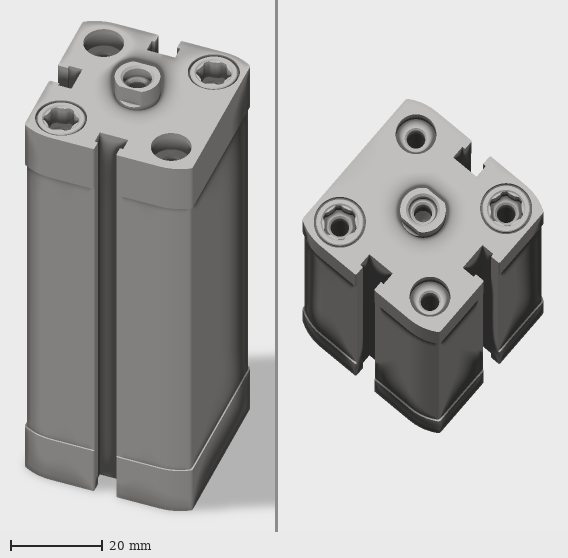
import cadquery as cq
import math

total_height = 108.0
rod_projection = 5.5
housing_height = total_height - rod_projection
cap_size = 39.5
cap_height = 12.0
tube_inset = 0.38

corner_arc_diameter = 25.4
corner_arc_radius = corner_arc_diameter / 2
corner_arc_offset = 12.9
corner_edge_radius = 0.9

slot_mouth_width = 5.2
slot_inner_width = 6.7
slot_lip_depth = 2.4
slot_depth = 5.5
slot_mouth_bevel = 0.2
slot_angles = (0, 90, 180)

hole_offset = 13.0
screw_hole_diameter = 4.1
screw_hole_mouth = 5.0
screw_hole_chamfer = (screw_hole_mouth - screw_hole_diameter) / 2
socket_depth = 4.9
counterbore_diameter = 9.0
groove_outer_diameter = 11.5
groove_depth = 1.1
collar_diameter = 10.5
collar_top_diameter = 10.0
collar_chamfer = (collar_diameter - collar_top_diameter) / 2
socket_mouth_diameter = 8.4
socket_root_diameter = 7.8
socket_tip_diameter = 6.8
socket_chamfer = (socket_mouth_diameter - socket_root_diameter) / 2
socket_lobes = 6
lobe_half_angle = 8.5
first_lobe_angle = 45

rod_diameter = 10.0
rod_insertion = cap_height
rod_flats_width = 8.6
rod_flat_height = 4.2
rod_flat_slope_height = 0.4
rod_counterbore_diameter = 6.4
rod_counterbore_mouth = 7.5
rod_counterbore_depth = 2.9
rod_hole_diameter = 4.0
rod_hole_mouth = 5.0
rod_hole_depth = 9.7
drill_tip_angle = 118


def cone(bottom_diameter, top_diameter, height, base_z):
    """Truncated cone on the Z axis."""
    return (
        cq.Workplane("XY")
        .workplane(offset=base_z)
        .circle(bottom_diameter / 2)
        .workplane(offset=height)
        .circle(top_diameter / 2)
        .loft(ruled=True)
    )


def cylinder(diameter, height, base_z):
    """Cylinder on the Z axis."""
    return cq.Workplane("XY").workplane(offset=base_z).circle(diameter / 2).extrude(height)


def rounded_block(inset, height, base_z):
    """Square block with arched corners, its walls moved inward by the inset."""
    half = cap_size / 2 - inset
    radius = corner_arc_radius - inset
    arc_center = cap_size / 2 - corner_arc_radius
    end_angle = math.acos((half - corner_arc_offset) / radius)
    side_y = arc_center + radius * math.sin(end_angle)
    middle_angle = (end_angle + math.pi / 2) / 2
    middle_x = corner_arc_offset + radius * math.cos(middle_angle)
    middle_y = arc_center + radius * math.sin(middle_angle)
    return (
        cq.Workplane("XY")
        .workplane(offset=base_z)
        .moveTo(-corner_arc_offset, half)
        .lineTo(corner_arc_offset, half)
        .threePointArc((middle_x, middle_y), (half, side_y))
        .lineTo(half, -side_y)
        .threePointArc((middle_x, -middle_y), (corner_arc_offset, -half))
        .lineTo(-corner_arc_offset, -half)
        .threePointArc((-middle_x, -middle_y), (-half, -side_y))
        .lineTo(-half, side_y)
        .threePointArc((-middle_x, middle_y), (-corner_arc_offset, half))
        .close()
        .extrude(height)
        .edges("(>X or <X) and |Z")
        .fillet(corner_edge_radius)
    )


def slot_cutter():
    """T-slot along the +Y face with beveled mouth edges in both caps."""
    face = cap_size / 2
    bevel_y = face - slot_mouth_bevel
    mouth = slot_mouth_width / 2
    wide_mouth = mouth + slot_mouth_bevel
    neck = cq.Workplane("XY").center(0, face - slot_depth / 2).rect(slot_mouth_width, slot_depth)
    inner_height = slot_depth - slot_lip_depth
    inner_y = face - slot_depth + inner_height / 2
    inner = cq.Workplane("XY").center(0, inner_y).rect(slot_inner_width, inner_height)
    slot = neck.extrude(housing_height).union(inner.extrude(housing_height))
    for base_z in (0, housing_height - cap_height):
        bevel = (
            cq.Workplane("XY")
            .workplane(offset=base_z)
            .polyline([(-mouth, bevel_y), (mouth, bevel_y), (wide_mouth, face), (-wide_mouth, face)])
            .close()
            .extrude(cap_height)
        )
        slot = slot.union(bevel)
    return slot


def screw_hole_cutter():
    """Through hole with a chamfered mouth at the bottom of a socket."""
    mouth_z = housing_height - socket_depth
    chamfer = cone(screw_hole_diameter, screw_hole_mouth, screw_hole_chamfer, mouth_z - screw_hole_chamfer)
    return cylinder(screw_hole_diameter, mouth_z, 0).union(chamfer)


def plain_hole_cutter():
    """Counterbored screw hole."""
    counterbore = cylinder(counterbore_diameter, socket_depth, housing_height - socket_depth)
    return screw_hole_cutter().union(counterbore)


def lobed_socket_cutter(height, base_z):
    """Six-lobed socket whose lobes point inward, one of them toward the +X +Y corner."""
    tip_radius = socket_tip_diameter / 2
    root_radius = socket_root_diameter / 2
    pitch = 360 / socket_lobes

    def polar(radius, degrees):
        return radius * math.cos(math.radians(degrees)), radius * math.sin(math.radians(degrees))

    outline = (
        cq.Workplane("XY")
        .workplane(offset=base_z)
        .moveTo(*polar(tip_radius, first_lobe_angle - lobe_half_angle))
    )
    for lobe in range(socket_lobes):
        tip = first_lobe_angle + lobe * pitch
        root = tip + pitch / 2
        next_tip = tip + pitch
        outline = (
            outline
            .threePointArc(polar(tip_radius, tip), polar(tip_radius, tip + lobe_half_angle))
            .lineTo(*polar(root_radius, root - lobe_half_angle))
            .threePointArc(polar(root_radius, root), polar(root_radius, root + lobe_half_angle))
            .lineTo(*polar(tip_radius, next_tip - lobe_half_angle))
        )
    return outline.close().extrude(height)


def lobed_hole_cutter():
    """Screw hole with a lobed socket inside a collar, set off by a ring groove."""
    groove_z = housing_height - groove_depth
    chamfer_z = housing_height - collar_chamfer
    collar = cylinder(collar_diameter, groove_depth - collar_chamfer, groove_z).union(
        cone(collar_diameter, collar_top_diameter, collar_chamfer, chamfer_z)
    )
    groove = cylinder(groove_outer_diameter, groove_depth, groove_z).cut(collar)
    socket = lobed_socket_cutter(socket_depth, housing_height - socket_depth)
    mouth_z = housing_height - socket_chamfer
    socket_mouth = cone(socket_root_diameter, socket_mouth_diameter, socket_chamfer, mouth_z)
    return screw_hole_cutter().union(socket).union(socket_mouth).union(groove)


def make_housing():
    top_cap_z = housing_height - cap_height
    tube_height = housing_height - 2 * cap_height
    housing = (
        rounded_block(0, cap_height, 0)
        .union(rounded_block(tube_inset, tube_height, cap_height))
        .union(rounded_block(0, cap_height, top_cap_z))
    )
    slot = slot_cutter()
    for angle in slot_angles:
        housing = housing.cut(slot.rotate((0, 0, 0), (0, 0, 1), angle))
    for side in (-1, 1):
        housing = housing.cut(plain_hole_cutter().translate((side * hole_offset, -side * hole_offset, 0)))
        housing = housing.cut(lobed_hole_cutter().translate((side * hole_offset, side * hole_offset, 0)))
    return housing.cut(cylinder(rod_diameter, rod_insertion, housing_height - rod_insertion))


def flat_cutter():
    """Removes one wrench flat on the +Y side, ending in a slope."""
    flat_y = rod_flats_width / 2
    outer_y = rod_diameter / 2
    flat_z = total_height - rod_flat_height
    return (
        cq.Workplane("YZ")
        .polyline([
            (flat_y, total_height), (flat_y, flat_z),
            (outer_y, flat_z - rod_flat_slope_height), (outer_y, total_height),
        ])
        .close()
        .extrude(rod_diameter / 2, both=True)
    )


def make_rod():
    rod = cylinder(rod_diameter, rod_insertion + rod_projection, housing_height - rod_insertion)
    for angle in (0, 180):
        rod = rod.cut(flat_cutter().rotate((0, 0, 0), (0, 0, 1), angle))
    counterbore_radius = rod_counterbore_diameter / 2
    counterbore_mouth_radius = rod_counterbore_mouth / 2
    hole_radius = rod_hole_diameter / 2
    hole_mouth_radius = rod_hole_mouth / 2
    ledge_z = total_height - rod_counterbore_depth
    hole_end_z = total_height - rod_hole_depth
    tip_length = hole_radius / math.tan(math.radians(drill_tip_angle / 2))
    hole = (
        cq.Workplane("XZ")
        .polyline([
            (0, total_height),
            (counterbore_mouth_radius, total_height),
            (counterbore_radius, total_height - (counterbore_mouth_radius - counterbore_radius)),
            (counterbore_radius, ledge_z),
            (hole_mouth_radius, ledge_z),
            (hole_radius, ledge_z - (hole_mouth_radius - hole_radius)),
            (hole_radius, hole_end_z),
            (0, hole_end_z - tip_length),
        ])
        .close()
        .revolve(360, (0, 0, 0), (0, 1, 0))
    )
    return rod.cut(hole)


housing = make_housing()
piston_rod = make_rod()
result = cq.Compound.makeCompound([housing.val(), piston_rod.val()])